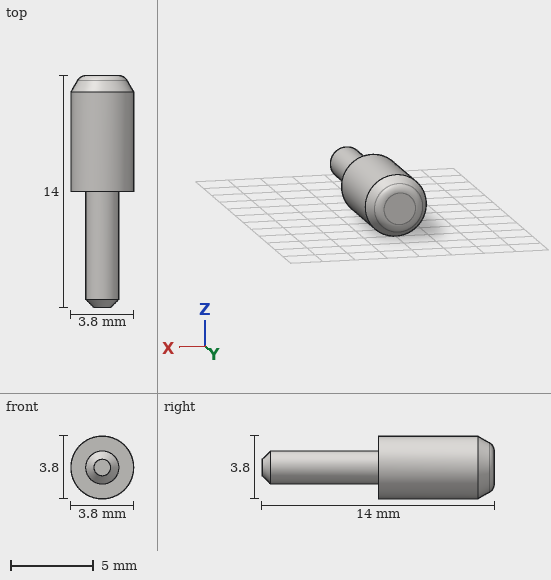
import cadquery as cq
import math


head_radius = 3.8 / 2
head_length = 7.0
nose_length = 1.0
nose_half_angle = math.radians(30)
nose_round_radius = 0.6

pin_radius = 2.0 / 2
pin_length = 7.0
pin_chamfer = 0.5


def build_head():
    """Cylinder whose far end tapers and then rounds over tangentially into a flat end face."""
    taper_start_y = head_length - nose_length
    round_centre_y = head_length - nose_round_radius

    taper_end_y = round_centre_y + nose_round_radius * math.sin(nose_half_angle)
    taper_end_radius = head_radius - (taper_end_y - taper_start_y) * math.tan(nose_half_angle)
    end_face_radius = taper_end_radius - nose_round_radius * math.cos(nose_half_angle)

    arc_middle_angle = (nose_half_angle + math.pi / 2) / 2
    arc_middle = (
        end_face_radius + nose_round_radius * math.cos(arc_middle_angle),
        round_centre_y + nose_round_radius * math.sin(arc_middle_angle),
    )

    half_profile = (
        cq.Workplane("XY")
        .moveTo(0, 0)
        .lineTo(head_radius, 0)
        .lineTo(head_radius, taper_start_y)
        .lineTo(taper_end_radius, taper_end_y)
        .threePointArc(arc_middle, (end_face_radius, head_length))
        .lineTo(0, head_length)
        .close()
    )
    return half_profile.revolve(360, (0, 0, 0), (0, 1, 0))


def build_pin():
    """Cylinder running towards -Y from the head, with a chamfered free end."""
    pin = cq.Workplane("XZ").circle(pin_radius).extrude(pin_length)
    return pin.faces("<Y").chamfer(pin_chamfer)


head = build_head()
pin = build_pin()

result = cq.Compound.makeCompound([head.val(), pin.val()])